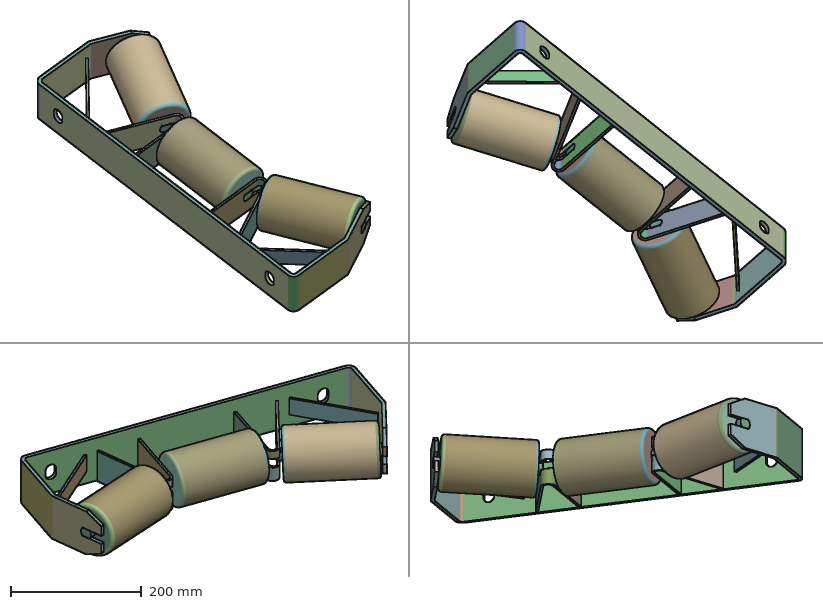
import cadquery as cq
import math

overall_length = 570.0
frame_height = 80.0
frame_thickness = 6.0
plate_thickness = 4.0
lean_angle = 25.0
tilt_angle = 2.5

frame_bend_radius = 12.0
wing_bend_y = 116.0
wing_tip_y = 204.5
tip_chamfer_along = 29.5
tip_chamfer_across = 15.0
mount_slot_x = 232.5
mount_slot_width = 18.0
mount_slot_length = 27.0

roller_diameter = 89.0
roller_length = 150.0
roller_edge_radius = 5.0
shaft_diameter = 20.0
shaft_flat_width = 15.0
center_roller_gap = 5.0
outer_roller_gap = 4.0
shoulder_clearance = 1.0
center_roller_y = 98.5
center_roller_z = 33.5
outer_roller_x = 179.5
outer_roller_y = 141.5
outer_roller_z = 36.0

bracket_height = 56.0
bracket_bend_radius = 11.5
bracket_bend_y = 116.0

brace_wall_y = 104.0
brace_base_x = 175.5
brace_height = 30.0

lean = math.radians(lean_angle)
mid_z = frame_height / 2
side_x = overall_length / 2
center_plate_reach = roller_length / 2 + center_roller_gap
outer_plate_reach = roller_length / 2 + outer_roller_gap
center_shoulder_reach = center_plate_reach - shoulder_clearance
outer_shoulder_reach = outer_plate_reach - shoulder_clearance
wing_direction = cq.Vector(-math.sin(lean), math.cos(lean))
wing_inward = cq.Vector(-math.cos(lean), -math.sin(lean))
wing_tip = cq.Vector(side_x - (wing_tip_y - wing_bend_y) * math.tan(lean), wing_tip_y)


def place_center(body):
    """Move a body built around the X axis onto the center roller's axis."""
    return body.translate((0, center_roller_y, center_roller_z))


def place_outer(body):
    """Move a body built around the X axis onto the right-hand outer roller's axis."""
    tilted = body.rotate((0, 0, 0), (0, 1, 0), -tilt_angle)
    leaned = tilted.rotate((0, 0, 0), (0, 0, 1), lean_angle)
    return leaned.translate((outer_roller_x, outer_roller_y, outer_roller_z))


def with_mirror(body):
    """Add the mirror image of a cutter on the other side of the YZ plane."""
    return body.union(body.mirror("YZ"))


def flat_profile(plane):
    """Shaft end section: a circle cut by two flats above and below the axis."""
    half_flat = shaft_flat_width / 2
    radius = shaft_diameter / 2
    half_chord = math.sqrt(radius**2 - half_flat**2)
    return (
        plane.moveTo(-half_chord, half_flat)
        .lineTo(half_chord, half_flat)
        .threePointArc((radius, 0), (half_chord, -half_flat))
        .lineTo(-half_chord, -half_flat)
        .threePointArc((-radius, 0), (-half_chord, half_flat))
        .close()
    )


def make_roller(plate_reach, left_plate, right_plate):
    """Roller whose shaft ends pass through plates of the given thicknesses at both sides."""
    shoulder_reach = plate_reach - shoulder_clearance
    left_length = shoulder_clearance + left_plate
    right_length = shoulder_clearance + right_plate
    drum = (
        cq.Workplane("YZ", origin=(-roller_length / 2, 0, 0))
        .circle(roller_diameter / 2)
        .extrude(roller_length)
        .edges("%CIRCLE")
        .fillet(roller_edge_radius)
    )
    shaft = (
        cq.Workplane("YZ", origin=(-shoulder_reach, 0, 0))
        .circle(shaft_diameter / 2)
        .extrude(2 * shoulder_reach)
    )
    left_end = flat_profile(cq.Workplane("YZ", origin=(-shoulder_reach, 0, 0))).extrude(-left_length)
    right_end = flat_profile(cq.Workplane("YZ", origin=(shoulder_reach, 0, 0))).extrude(right_length)
    return drum.union(shaft).union(left_end).union(right_end)


def shaft_slot(start_x, depth):
    """Cutter for a slot that lets a shaft end drop in from +Y and rest on the slot's round bottom."""
    length = wing_tip_y
    bottom = flat_profile(cq.Workplane("YZ", origin=(start_x, 0, 0))).extrude(depth)
    throat = cq.Workplane("XY").box(depth, length, shaft_flat_width, centered=(False, False, True))
    return bottom.union(throat.translate((start_x, 0, 0)))


def frame_prism(inset):
    """Solid enclosed by the strip's face that lies the given inset inside its outer face."""
    bend_x = side_x - inset
    bend_y = wing_bend_y - inset * math.tan(lean / 2)
    shared_tip = wing_tip + wing_inward * frame_thickness
    if inset > 0:
        tips = [shared_tip + wing_direction * frame_thickness]
    else:
        tips = [wing_tip, shared_tip]
    right = [(bend_x, inset), (bend_x, bend_y)] + [(tip.x, tip.y) for tip in tips]
    left = [(-x, y) for x, y in reversed(right)]
    return (
        cq.Workplane("XY")
        .polyline(right + left)
        .close()
        .extrude(frame_height)
        .edges("|Z")
        .filter(lambda edge: edge.Center().y < wing_bend_y + frame_bend_radius)
        .fillet(frame_bend_radius - inset)
    )


def tip_corner(upward):
    """Wedge that chamfers the top or bottom corner of the right-hand wing tip."""
    corner_z = mid_z + upward * mid_z
    plane = cq.Plane(
        origin=(wing_tip.x, wing_tip.y, corner_z),
        xDir=wing_direction.toTuple(),
        normal=wing_inward.toTuple(),
    )
    drop = -upward * plane.yDir.z * tip_chamfer_across
    return (
        cq.Workplane(plane)
        .polyline([(0, 0), (-tip_chamfer_along, 0), (0, drop)])
        .close()
        .extrude(2 * frame_thickness, both=True)
    )


def make_frame():
    """Bent strip with chamfered wing tips, open shaft slots and two mounting slots."""
    frame = frame_prism(0).cut(frame_prism(frame_thickness))
    for upward in (-1, 1):
        frame = frame.cut(with_mirror(tip_corner(upward)))
    shaft_slots = place_outer(shaft_slot(outer_shoulder_reach, 2 * frame_thickness))
    frame = frame.cut(with_mirror(shaft_slots))
    mount_slots = (
        cq.Workplane("XZ")
        .pushPoints([(-mount_slot_x, mid_z), (mount_slot_x, mid_z)])
        .slot2D(mount_slot_length, mount_slot_width, 90)
        .extrude(-frame_thickness)
    )
    return frame.cut(mount_slots)


def make_bracket():
    """Right-hand bracket with an open shaft slot in each leg."""
    outer_radius = bracket_bend_radius
    inner_radius = outer_radius - plate_thickness
    inner_face = center_plate_reach
    far_face = inner_face + plate_thickness
    center = cq.Vector(inner_face + outer_radius, bracket_bend_y)
    outer_tangent = center - wing_inward * outer_radius
    inner_tangent = center - wing_inward * inner_radius
    leg_length = (inner_tangent.y - frame_thickness) / math.cos(lean)
    outer_foot = outer_tangent - wing_direction * leg_length
    inner_foot = inner_tangent - wing_direction * leg_length
    bracket = (
        cq.Workplane("XY")
        .moveTo(inner_face, frame_thickness)
        .lineTo(inner_face, center.y)
        .threePointArc((center.x, center.y + outer_radius), (outer_tangent.x, outer_tangent.y))
        .lineTo(outer_foot.x, outer_foot.y)
        .lineTo(inner_foot.x, inner_foot.y)
        .lineTo(inner_tangent.x, inner_tangent.y)
        .threePointArc((center.x, center.y + inner_radius), (far_face, center.y))
        .lineTo(far_face, frame_thickness)
        .close()
        .extrude(bracket_height)
    )
    slot_depth = outer_radius + shoulder_clearance
    center_slot = place_center(shaft_slot(center_shoulder_reach, slot_depth))
    outer_slot = place_outer(shaft_slot(-outer_shoulder_reach - slot_depth, slot_depth))
    return bracket.cut(center_slot).cut(outer_slot)


def make_brace():
    """Right-hand brace, touching the base and the side wall along its lower face's end edges."""
    wall_point = cq.Vector(side_x - frame_thickness, brace_wall_y)
    base_point = cq.Vector(brace_base_x, frame_thickness)
    direction = (wall_point - base_point).normalized()
    offset = cq.Vector(-direction.y, direction.x) * plate_thickness
    corners = [base_point, wall_point, wall_point + offset, base_point + offset]
    return (
        cq.Workplane("XY", origin=(0, 0, mid_z - brace_height / 2))
        .polyline([(corner.x, corner.y) for corner in corners])
        .close()
        .extrude(brace_height)
    )


frame = make_frame()
center_roller = place_center(make_roller(center_plate_reach, plate_thickness, plate_thickness))
outer_roller = place_outer(make_roller(outer_plate_reach, plate_thickness, frame_thickness))

bodies = [frame.val(), center_roller.val()]
for right_body in (outer_roller, make_bracket(), make_brace()):
    bodies.append(right_body.val())
    bodies.append(right_body.mirror("YZ").val())

result = cq.Compound.makeCompound(bodies)